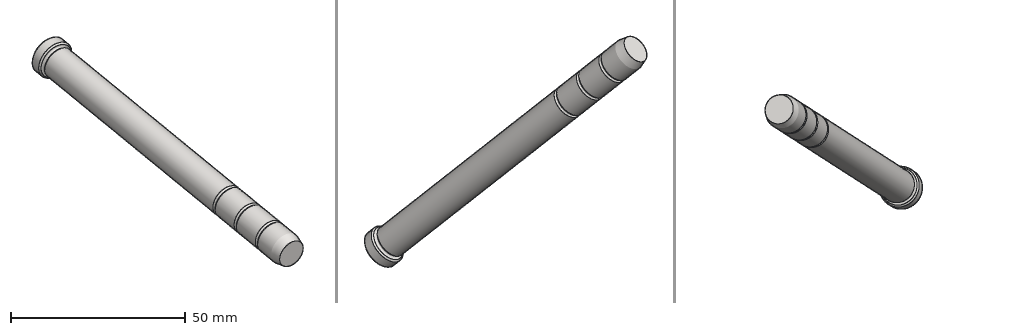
import cadquery as cq

LENGTH = 115.0
HEAD_DIAMETER = 12.0
SHAFT_DIAMETER = 10.0

HEAD_LENGTH = 4.0
HEAD_CHAMFER = 0.5

GROOVE_WIDTH = 1.0
GROOVE_DEPTH = GROOVE_WIDTH / 2
GROOVE_PITCH = 10.0
GROOVE_COUNT = 3
LAST_GROOVE_TO_TIP = 10.0

TIP_LENGTH = 3.0
TIP_DIAMETER = 8.5

head_radius = HEAD_DIAMETER / 2
shaft_radius = SHAFT_DIAMETER / 2
head_face_x = -LENGTH / 2
tip_x = LENGTH / 2
shoulder_x = head_face_x + HEAD_LENGTH
last_groove_x = tip_x - LAST_GROOVE_TO_TIP


def add_groove(profile, center_x):
    """Run the profile along the shaft and dip through one arc-shaped groove."""
    start_x = center_x - GROOVE_WIDTH / 2
    end_x = center_x + GROOVE_WIDTH / 2
    return profile.lineTo(start_x, shaft_radius).threePointArc(
        (center_x, shaft_radius - GROOVE_DEPTH), (end_x, shaft_radius)
    )


profile = (
    cq.Workplane("XY")
    .moveTo(head_face_x, 0)
    .lineTo(head_face_x, head_radius - HEAD_CHAMFER)
    .lineTo(head_face_x + HEAD_CHAMFER, head_radius)
    .lineTo(shoulder_x - HEAD_CHAMFER, head_radius)
    .lineTo(shoulder_x, head_radius - HEAD_CHAMFER)
)

profile = add_groove(profile, shoulder_x + GROOVE_WIDTH / 2)
for index in range(GROOVE_COUNT):
    steps_from_last = GROOVE_COUNT - 1 - index
    profile = add_groove(profile, last_groove_x - steps_from_last * GROOVE_PITCH)

profile = (
    profile.lineTo(tip_x - TIP_LENGTH, shaft_radius)
    .lineTo(tip_x, TIP_DIAMETER / 2)
    .lineTo(tip_x, 0)
    .close()
)

result = profile.revolve(360, (0, 0, 0), (1, 0, 0))